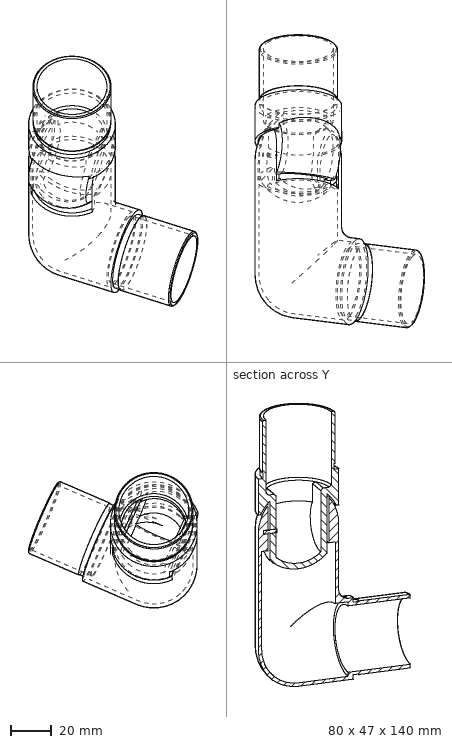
import cadquery as cq
import math

tube_radius = 21.21
bore_radius = 19.2
spigot_radius = 19.2
spigot_bore_radius = 17.1
neck_radius = 18.9
neck_length = 3.0
spigot_length = 30.0
spigot_chamfer = 0.5

hinge_height = 60.8
side_collar_end = 28.8
side_wall = 3.0
crotch_radius = 5.0
slot_half_width = 16.0
slot_front_floor = 42.1
slot_back_floor = 51.0

collar_bottom = 70.0
collar_top = 140 - tube_radius - spigot_length
tongue_half_width = 15.0
tongue_shift = 4.6
tongue_rise = 0.5
tongue_cavity_radius = 18.0
tongue_cavity_half_width = 11.6
mouth_back = -4.9
mouth_tip_height = 45.6
mouth_tip_y = -19.2
mouth_slope = 0.27
ear_clearance = 0.5
ledge_height = 80.0
ledge_radius = 16.0
ledge_edge_chamfer = 1.3

pin_radius = 0.8
pin_inner_end = -11.2
pin_outer_end = -18.2

reach = 4 * tube_radius


def rod(radius, start, end):
    """Vertical cylinder on the Z axis."""
    return cq.Workplane("XY").workplane(offset=start).circle(radius).extrude(end - start)


def rod_x(radius, start, end, height=0):
    """Cylinder parallel to X at the given height."""
    plane = cq.Workplane("YZ", origin=(start, 0, height))
    return plane.circle(radius).extrude(end - start)


def ball(radius, y, z):
    return cq.Workplane("XY").sphere(radius).translate((0, y, z))


def bullet(radius, centre, top):
    """Vertical bar with a hemispherical lower end centred at the given height."""
    outline = cq.Workplane("XZ").moveTo(0, centre - radius)
    side = math.sqrt(0.5) * radius
    outline = outline.threePointArc((side, centre - side), (radius, centre))
    outline = outline.lineTo(radius, top).lineTo(0, top).close()
    return outline.revolve(360, (0, 0, 0), (0, 1, 0))


def block(x_range, y_range, z_range):
    """Axis-aligned box given by its limits."""
    ranges = (x_range, y_range, z_range)
    size = [high - low for low, high in ranges]
    return cq.Workplane("XY").box(*size, centered=False).translate([low for low, high in ranges])


def hinge_slice(half_width):
    """Slab across the hinge, limited in X only."""
    return block((-half_width, half_width), (-reach, reach), (0, 2 * reach))


def spigot():
    """Solid spigot standing on Z = 0: relieved neck, then a chamfered plug."""
    plug = rod(spigot_radius, neck_length, spigot_length).faces(">Z").chamfer(spigot_chamfer)
    return rod(neck_radius, 0, neck_length).union(plug)


def hinge_hole():
    return rod_x(pin_radius, pin_outer_end, pin_inner_end, hinge_height)


def build_lower_elbow():
    riser = rod(tube_radius, 0, hinge_height)
    branch = rod_x(tube_radius, 0, side_collar_end)
    elbow = riser.union(branch)
    crotch = cq.selectors.BoxSelector((1.4, -reach, 1.4), (tube_radius + 1.4, reach, tube_radius + 1.4))
    elbow = elbow.edges(crotch).fillet(crotch_radius)
    elbow = elbow.union(ball(tube_radius, 0, 0)).union(ball(tube_radius, 0, hinge_height))
    side_spigot = spigot().rotate((0, 0, 0), (0, 1, 0), 90).translate((side_collar_end, 0, 0))
    elbow = elbow.union(side_spigot)

    hollow = rod(bore_radius, 0, slot_back_floor)
    hollow = hollow.union(rod_x(bore_radius, 0, side_collar_end - side_wall))
    elbow = elbow.cut(hollow.union(ball(bore_radius, 0, 0)))
    elbow = elbow.cut(rod_x(spigot_bore_radius, side_collar_end - side_wall, side_collar_end + spigot_length))

    slot = hinge_slice(slot_half_width)
    front = block((-reach, reach), (-reach, 0), (slot_front_floor, reach + hinge_height))
    back = block((-reach, reach), (0, reach), (slot_back_floor, reach + hinge_height))
    elbow = elbow.cut(slot.intersect(front.union(back)))
    return elbow.cut(hinge_hole())


def bulged(radius, top):
    """Round-ended bar hanging down to the hinge, with a second ball that bulges toward -Y."""
    bar = bullet(radius, hinge_height, top)
    bulge = ball(radius, -tongue_shift, hinge_height + tongue_rise)
    return bar.union(bulge.intersect(hinge_slice(tongue_half_width)))


def mouth():
    """Cut that opens the tongue at its lower front, with a sloping lip."""
    lip_back = mouth_tip_height + mouth_slope * (mouth_back - mouth_tip_y)
    lip_front = mouth_tip_height + mouth_slope * (-reach - mouth_tip_y)
    outline = [(mouth_back, 0), (mouth_back, lip_back), (-reach, lip_front), (-reach, 0)]
    return cq.Workplane("YZ").polyline(outline).close().extrude(reach, both=True)


def ledge_opening():
    """Slot through the floor of the bore, with chamfered long edges."""
    low = ledge_height - ledge_edge_chamfer
    half = tongue_cavity_half_width
    outline = [
        (-half, hinge_height),
        (half, hinge_height),
        (half, low),
        (half + ledge_edge_chamfer, ledge_height),
        (-half - ledge_edge_chamfer, ledge_height),
        (-half, low),
    ]
    prism = cq.Workplane("XZ").polyline(outline).close().extrude(reach, both=True)
    return prism.intersect(rod(ledge_radius, hinge_height, ledge_height))


def ears_room():
    """Space on both sides of the tongue in which the ears of the elbow turn."""
    below_collar = block((-reach, reach), (-reach, reach), (0, collar_bottom))
    dome_room = ball(tube_radius + ear_clearance, 0, hinge_height)
    return below_collar.union(dome_room).cut(hinge_slice(tongue_half_width))


def build_upper_knuckle():
    knuckle = bulged(tube_radius, collar_top)
    knuckle = knuckle.cut(ears_room()).cut(mouth())
    knuckle = knuckle.union(spigot().translate((0, 0, collar_top)))

    cone_height = spigot_bore_radius - ledge_radius
    bore = rod(spigot_bore_radius, ledge_height, collar_top + spigot_length)
    bore = bore.faces("<Z").chamfer(cone_height)
    cavity = ball(tongue_cavity_radius, 0, hinge_height)
    cavity = cavity.union(ball(tongue_cavity_radius, -tongue_shift, hinge_height + tongue_rise))
    cavity = cavity.intersect(hinge_slice(tongue_cavity_half_width))
    knuckle = knuckle.cut(bore).cut(cavity).cut(ledge_opening())
    return knuckle.cut(hinge_hole())


def build_hinge_pin():
    return hinge_hole()


lower_elbow = build_lower_elbow()
upper_knuckle = build_upper_knuckle()
hinge_pin = build_hinge_pin()

result = cq.Compound.makeCompound([lower_elbow.val(), upper_knuckle.val(), hinge_pin.val()])